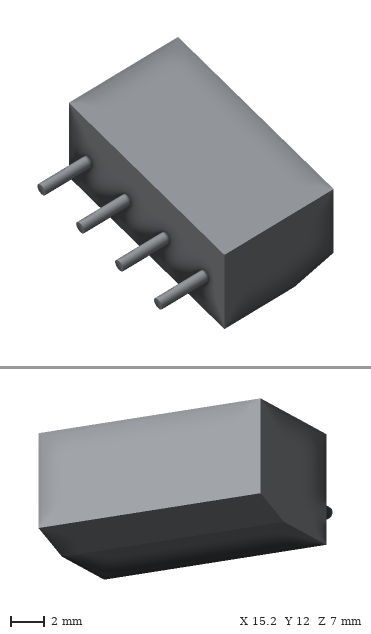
import cadquery as cq

body_width = 15.24
body_depth = 8.4
body_height = 7.0

slope_depth = 3.0
slope_height = 1.0

pin_count = 4
pin_pitch = 3.81
pin_diameter = 0.8
pin_length = 3.6
pin_center_height = 3.25


def make_body():
    """Extrude the side profile (in Y, Z) along X."""
    profile = [
        (0, 0),
        (body_depth - slope_depth, 0),
        (body_depth, slope_height),
        (body_depth, body_height),
        (0, body_height),
    ]
    return (
        cq.Workplane("YZ")
        .polyline(profile)
        .close()
        .extrude(body_width / 2, both=True)
    )


def make_pin(x):
    """Round pin at the given X, running from the front face toward -Y."""
    return (
        cq.Workplane("XZ")
        .center(x, pin_center_height)
        .circle(pin_diameter / 2)
        .extrude(pin_length)
    )


result = make_body()
first_pin_x = -pin_pitch * (pin_count - 1) / 2
for index in range(pin_count):
    result = result.union(make_pin(first_pin_x + index * pin_pitch))